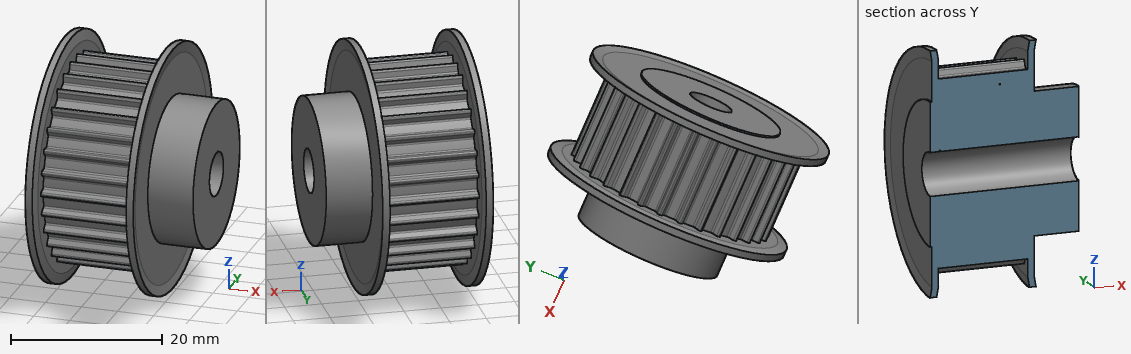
import cadquery as cq

flange_radius = 17.0
flange_flat_radius = 15.5
flange_thickness = 1.0
flange_dish = 0.255
flanged_width = 15.0

hub_radius = 10.0
bore_radius = 3.0
overall_length = 21.0

tooth_count = 30
tip_radius = 14.1
root_radius = 13.05
tip_half_width = 0.25
root_half_width = 0.58
tooth_edge_radius = 0.27
root_overlap = 0.68

belt_start = flange_dish + flange_thickness
belt_end = flanged_width - belt_start
belt_width = belt_end - belt_start


def cylinder(radius, start, end):
    """Solid cylinder along X between two stations."""
    return cq.Workplane("YZ", origin=(start, 0, 0)).circle(radius).extrude(end - start)


def flange(outer_face, inward):
    """Dished disc whose rim starts at outer_face; inward is the X direction towards the belt."""
    profile = [
        (flange_dish, 0),
        (flange_dish, flange_flat_radius),
        (0, flange_radius),
        (flange_thickness, flange_radius),
        (belt_start, flange_flat_radius),
        (belt_start, 0),
    ]
    points = [(outer_face + inward * depth, radius) for depth, radius in profile]
    return cq.Workplane("XZ").polyline(points).close().revolve(360, (0, 0, 0), (1, 0, 0))


def toothed_body():
    """Root cylinder with tapered teeth, one of them pointing along -Y, rounded at tips and roots."""
    body = cylinder(root_radius, belt_start, belt_end)

    flank_slope = (root_half_width - tip_half_width) / (tip_radius - root_radius)
    base_half_width = root_half_width + root_overlap * flank_slope
    base_radius = root_radius - root_overlap
    tooth = (
        cq.Workplane("YZ", origin=(belt_start, 0, 0))
        .moveTo(-base_radius, -base_half_width)
        .lineTo(-tip_radius, -tip_half_width)
        .lineTo(-tip_radius, tip_half_width)
        .lineTo(-base_radius, base_half_width)
        .close()
        .extrude(belt_width)
    )
    for index in range(tooth_count):
        angle = index * 360 / tooth_count
        body = body.union(tooth.rotate((0, 0, 0), (1, 0, 0), angle))
    return body.edges("|X").fillet(tooth_edge_radius)


result = (
    toothed_body()
    .union(flange(0, 1))
    .union(flange(flanged_width, -1))
    .union(cylinder(hub_radius, 0, overall_length))
    .cut(cylinder(bore_radius, 0, overall_length))
)